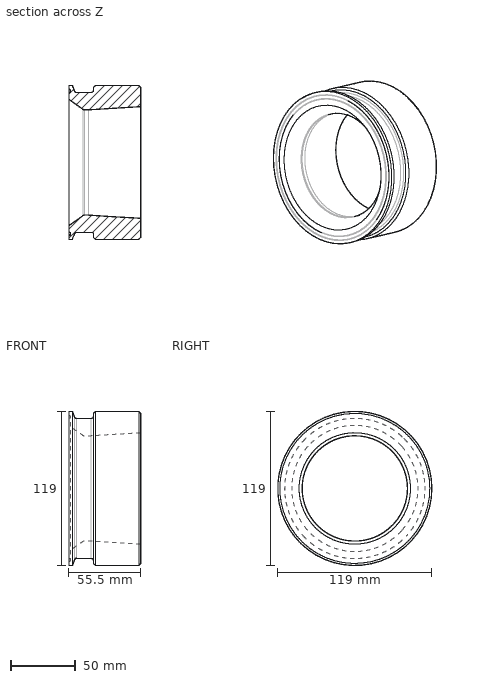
import cadquery as cq
import math

length = 55.5
outer_radius = 59.5
neck_radius = 108.1 / 2

rim_width = 2.9
flange_back_angle = math.radians(20)
flange_back_end = rim_width + (outer_radius - neck_radius) * math.tan(flange_back_angle)
flange_back_fillet = 1.3

body_start = 18.9
body_front_chamfer = 1.7
body_back_chamfer = 1.7
neck_fillet = 1.7

mouth_radius = 48.6
mouth_depth = 11.4
throat_radius = 81.0 / 2
throat_end = 15.1
throat_fillet = 1.5
back_radius = 42.9
back_land = 0.5

groove_inner_radius = 53.4
groove_outer_radius = 56.8
groove_depth = 1.2
groove_rim_fillet = 0.5


def revolve_about_axis(section):
    return section.revolve(360, (0, 0, 0), (1, 0, 0))


def make_ring():
    """Revolve the ring section, drawn as (X, radius), about the X axis."""
    section = (
        cq.Workplane("XY")
        .moveTo(0, mouth_radius)
        .lineTo(0, outer_radius)
        .lineTo(rim_width, outer_radius)
        .lineTo(flange_back_end, neck_radius)
        .lineTo(body_start - neck_fillet, neck_radius)
        .radiusArc((body_start, neck_radius + neck_fillet), -neck_fillet)
        .lineTo(body_start, outer_radius - body_front_chamfer)
        .lineTo(body_start + body_front_chamfer, outer_radius)
        .lineTo(length - body_back_chamfer, outer_radius)
        .lineTo(length, outer_radius - body_back_chamfer)
        .lineTo(length, back_radius)
        .lineTo(length - back_land, back_radius)
        .lineTo(throat_end, throat_radius)
        .lineTo(mouth_depth, throat_radius)
        .close()
    )
    return revolve_about_axis(section)


def round_edge_at(ring, x, fillet_radius):
    """Round the single circular edge whose centre lies at X = x on the axis."""
    reach = 0.01
    selector = cq.selectors.BoxSelector((x - reach, -reach, -reach), (x + reach, reach, reach))
    return ring.edges(selector).fillet(fillet_radius)


def make_groove():
    """Ring-shaped cutter: a round bottom running tangent into two rounded rims."""
    middle_radius = (groove_inner_radius + groove_outer_radius) / 2
    half_width = (groove_outer_radius - groove_inner_radius) / 2

    centre_distance = (groove_depth**2 + half_width**2) / (2 * groove_depth)
    bottom_radius = centre_distance - groove_rim_fillet

    bottom_centre_x = groove_depth - bottom_radius
    slope = (groove_rim_fillet - bottom_centre_x) / centre_distance
    tangent_x = bottom_centre_x + bottom_radius * slope
    tangent_offset = half_width * bottom_radius / centre_distance
    inner_tangent = (tangent_x, middle_radius - tangent_offset)
    outer_tangent = (tangent_x, middle_radius + tangent_offset)

    section = (
        cq.Workplane("XY")
        .moveTo(0, groove_inner_radius)
        .radiusArc(inner_tangent, groove_rim_fillet)
        .threePointArc((groove_depth, middle_radius), outer_tangent)
        .radiusArc((0, groove_outer_radius), groove_rim_fillet)
        .close()
    )
    return revolve_about_axis(section)


result = make_ring()
result = round_edge_at(result, flange_back_end, flange_back_fillet)
result = round_edge_at(result, mouth_depth, throat_fillet)
result = result.cut(make_groove())